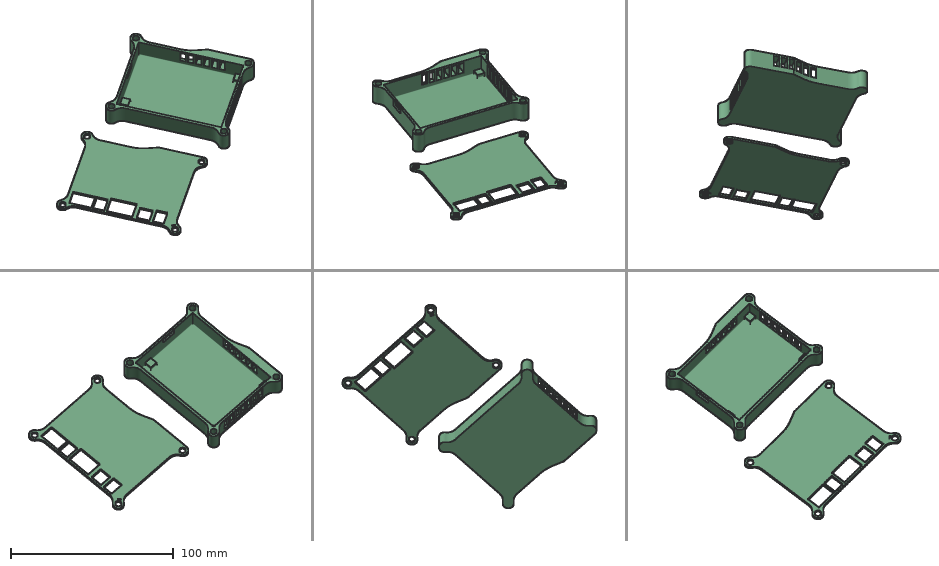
import cadquery as cq
import math

BOSS_RADIUS = 3.5
SCREW_DIAMETER = 3.9
BOSS_PITCH_X = 71.7
BOSS_PITCH_Y = 55.3
CORNER_BLEND_RADIUS = 6.8

SIDE_WALL_INSET = 1.0
END_WALL_INSET = 0.8

RAMP_START_X = 33.2
RAMP_END_X = 44.7
RAMP_BLEND_RADIUS = 27.1

HOUSING_HEIGHT = 13.0
FLOOR_THICKNESS = 1.1
SIDE_WALL_THICKNESS = 1.5
END_WALL_THICKNESS = 1.8
FLOOR_FILLET = 0.4

PAD_SIZE = 5.0
PAD_HEIGHT = 2.2
LEFT_PAD_Y = 13.3

SLOT_WIDTH = 3.5
SLOT_PITCH = 5.0
RIGHT_SLOT_COUNT = 7
RIGHT_SLOT_START_Y = 12.5
RIGHT_SLOT_BOTTOM = 2.7
BACK_SLOT_COUNT = 6
BACK_SLOT_START_X = 30.6
BACK_SLOT_BOTTOM = 4.0
SLOT_TOP = 11.4

PORT_CENTER_Y = 31.5
PORT_WIDTH = 9.9
PORT_BOTTOM = 8.4
PORT_HEIGHT = 4.2
PORT_CORNER_RADIUS = 0.8

LID_THICKNESS = 1.6
LID_OFFSET_X = -10.5
LID_OFFSET_Y = -73.2
LID_BACK_RIGHT_SHIFT = 1.4

WINDOW_FRONT_Y = 2.3
WINDOWS = [
    (3.5, 14.1, 9.0),
    (18.5, 7.2, 9.0),
    (27.4, 16.3, 10.3),
    (46.5, 8.1, 8.1),
    (56.8, 6.9, 9.0),
]

CUT_OVERLAP = 0.3

WALL_LEFT = SIDE_WALL_INSET
WALL_RIGHT = BOSS_PITCH_X - SIDE_WALL_INSET
WALL_FRONT = END_WALL_INSET
WALL_BACK = BOSS_PITCH_Y - END_WALL_INSET
BULGE_BACK = BOSS_PITCH_Y + BOSS_RADIUS

CAVITY_LEFT = WALL_LEFT + SIDE_WALL_THICKNESS
CAVITY_RIGHT = WALL_RIGHT - SIDE_WALL_THICKNESS
CAVITY_FRONT = WALL_FRONT + END_WALL_THICKNESS
CAVITY_BACK = WALL_BACK - END_WALL_THICKNESS


def box(x, y, z, length, width, height):
    """Box given by its lowest corner and its sizes."""
    return cq.Workplane("XY").box(length, width, height, centered=False).translate((x, y, z))


def boss_centers(back_right_x):
    """Boss centres in the order front-left, front-right, back-right, back-left."""
    return [(0, 0), (BOSS_PITCH_X, 0), (back_right_x, BOSS_PITCH_Y), (0, BOSS_PITCH_Y)]


def wall_plate(back_right_x, height):
    """Plate bounded by the four walls, with the bulge running along the back to its right boss."""
    return (
        cq.Workplane("XY")
        .moveTo(WALL_LEFT, WALL_FRONT)
        .lineTo(WALL_RIGHT, WALL_FRONT)
        .lineTo(WALL_RIGHT, BOSS_PITCH_Y)
        .lineTo(back_right_x, BOSS_PITCH_Y)
        .lineTo(back_right_x, BULGE_BACK)
        .lineTo(RAMP_END_X, BULGE_BACK)
        .lineTo(RAMP_START_X, WALL_BACK)
        .lineTo(WALL_LEFT, WALL_BACK)
        .close()
        .extrude(height)
        .edges(cq.selectors.NearestToPointSelector((RAMP_START_X, WALL_BACK, height / 2)))
        .fillet(RAMP_BLEND_RADIUS)
    )


def blend_points(back_right_x):
    """Points where the boss circles cross the walls."""
    side_reach = math.sqrt(BOSS_RADIUS**2 - SIDE_WALL_INSET**2)
    end_reach = math.sqrt(BOSS_RADIUS**2 - END_WALL_INSET**2)
    back_right_reach = math.sqrt(BOSS_RADIUS**2 - (back_right_x - WALL_RIGHT) ** 2)
    return [
        (end_reach, WALL_FRONT),
        (BOSS_PITCH_X - end_reach, WALL_FRONT),
        (WALL_RIGHT, side_reach),
        (WALL_RIGHT, BOSS_PITCH_Y - back_right_reach),
        (end_reach, WALL_BACK),
        (WALL_LEFT, BOSS_PITCH_Y - side_reach),
        (WALL_LEFT, side_reach),
    ]


def outline_body(back_right_x, height):
    """Solid plate with four bosses blended into its walls."""
    bosses = cq.Workplane("XY").pushPoints(boss_centers(back_right_x)).circle(BOSS_RADIUS).extrude(height)
    body = wall_plate(back_right_x, height).union(bosses)
    for x, y in blend_points(back_right_x):
        corner = cq.selectors.NearestToPointSelector((x, y, height / 2))
        body = body.edges("|Z").edges(corner).fillet(CORNER_BLEND_RADIUS)
    return body


def screw_holes(back_right_x, bottom, height):
    return (
        cq.Workplane("XY")
        .workplane(offset=bottom)
        .pushPoints(boss_centers(back_right_x))
        .circle(SCREW_DIAMETER / 2)
        .extrude(height)
    )


def cavity():
    """Space inside the housing: walls, pads and floor rounded into each other."""
    length = CAVITY_RIGHT - CAVITY_LEFT
    width = CAVITY_BACK - CAVITY_FRONT
    space = box(CAVITY_LEFT, CAVITY_FRONT, FLOOR_THICKNESS, length, width, HOUSING_HEIGHT)
    right_pad_x = CAVITY_RIGHT - PAD_SIZE
    pad_corners = [
        (CAVITY_LEFT, LEFT_PAD_Y - PAD_SIZE / 2),
        (right_pad_x, CAVITY_FRONT),
        (right_pad_x, CAVITY_BACK - PAD_SIZE),
    ]
    for x, y in pad_corners:
        space = space.cut(box(x, y, FLOOR_THICKNESS, PAD_SIZE, PAD_SIZE, PAD_HEIGHT))
    return space.faces("<Z").edges().fillet(FLOOR_FILLET)


def right_slots():
    """Row of vents through the right wall."""
    height = SLOT_TOP - RIGHT_SLOT_BOTTOM
    return [
        box(
            CAVITY_RIGHT - CUT_OVERLAP,
            RIGHT_SLOT_START_Y + i * SLOT_PITCH - SLOT_WIDTH / 2,
            RIGHT_SLOT_BOTTOM,
            SIDE_WALL_THICKNESS + 2 * CUT_OVERLAP,
            SLOT_WIDTH,
            height,
        )
        for i in range(RIGHT_SLOT_COUNT)
    ]


def back_slots():
    """Row of vents through the back wall and its bulge."""
    depth = BULGE_BACK - CAVITY_BACK + 2 * CUT_OVERLAP
    height = SLOT_TOP - BACK_SLOT_BOTTOM
    return [
        box(
            BACK_SLOT_START_X + i * SLOT_PITCH - SLOT_WIDTH / 2,
            CAVITY_BACK - CUT_OVERLAP,
            BACK_SLOT_BOTTOM,
            SLOT_WIDTH,
            depth,
            height,
        )
        for i in range(BACK_SLOT_COUNT)
    ]


def connector_port():
    """Rounded opening through the left wall."""
    return box(
        WALL_LEFT - CUT_OVERLAP,
        PORT_CENTER_Y - PORT_WIDTH / 2,
        PORT_BOTTOM,
        SIDE_WALL_THICKNESS + 2 * CUT_OVERLAP,
        PORT_WIDTH,
        PORT_HEIGHT,
    ).edges("|X").fillet(PORT_CORNER_RADIUS)


def make_housing():
    body = outline_body(BOSS_PITCH_X, HOUSING_HEIGHT).cut(cavity())
    body = body.cut(screw_holes(BOSS_PITCH_X, FLOOR_THICKNESS, HOUSING_HEIGHT))
    for opening in [*right_slots(), *back_slots(), connector_port()]:
        body = body.cut(opening)
    return body


def boss_notch():
    """Small corner cut in the lid, inside the front-right boss circle."""
    corner = box(WALL_RIGHT - BOSS_RADIUS, WINDOW_FRONT_Y, 0, BOSS_RADIUS, BOSS_RADIUS, LID_THICKNESS)
    boss = cq.Workplane("XY").center(BOSS_PITCH_X, 0).circle(BOSS_RADIUS).extrude(LID_THICKNESS)
    return corner.intersect(boss)


def make_lid():
    back_right_x = BOSS_PITCH_X + LID_BACK_RIGHT_SHIFT
    body = outline_body(back_right_x, LID_THICKNESS)
    body = body.cut(screw_holes(back_right_x, 0, LID_THICKNESS))
    for left, width, depth in WINDOWS:
        body = body.cut(box(left, WINDOW_FRONT_Y, 0, width, depth, LID_THICKNESS))
    return body.cut(boss_notch()).translate((LID_OFFSET_X, LID_OFFSET_Y, 0))


housing = make_housing()
lid = make_lid()

result = cq.Compound.makeCompound([housing.val(), lid.val()])